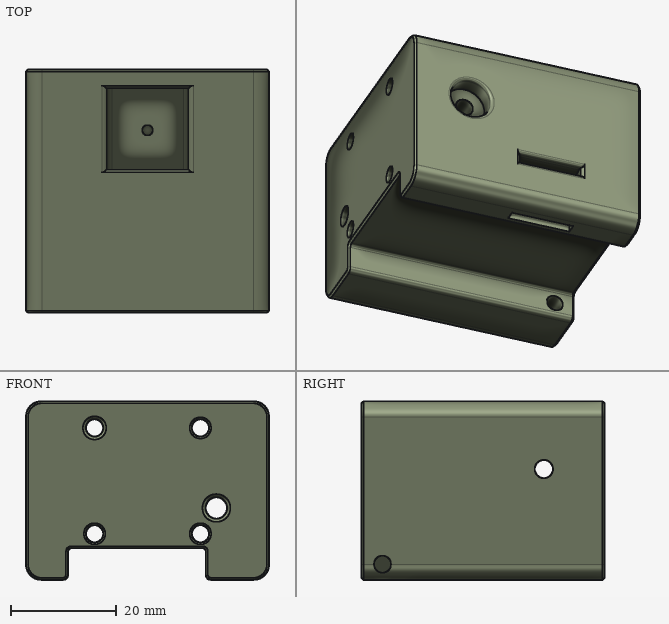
import cadquery as cq
import math

WIDTH = 46.0
LENGTH = 46.0
HEIGHT = 33.8
CORNER_RADIUS = 3.0
END_CHAMFER = 0.4

CHANNEL_LEFT = -15.0
CHANNEL_RIGHT = 11.0
CHANNEL_HEIGHT = 6.0
CHANNEL_ROOF_RADIUS = 0.6
CHANNEL_LIP_RADIUS = 1.0

BOLT_DIAMETER = 3.2
BOLT_PITCH = 20.0
BOLT_LOWER_Z = 8.75
BOLT_CHAMFER = 0.4
WIDE_BOLT_CHAMFER = 0.6
SIDE_HOLE_DIAMETER = 4.0
SIDE_HOLE_X = 13.0
SIDE_HOLE_Z = 13.6
SIDE_HOLE_CHAMFER = 0.65

AXLE_Y = 11.5
AXLE_Z = 20.98
AXLE_DIAMETER = 3.4
AXLE_HEAD_DIAMETER = 8.0
AXLE_HEAD_DEPTH = 3.5
AXLE_HEAD_FILLET = 0.6

POCKET_SIZE = 15.35
POCKET_Y = 11.75
POCKET_FLOOR_Z = AXLE_Z - POCKET_SIZE / 2
POCKET_RADIUS = 0.95
POCKET_END_CHAMFER = 0.5
FLOOR_HOLE_DIAMETER = 2.0
FLOOR_HOLE_DEPTH = 2.0

STRAP_WIDTH = 12.4
STRAP_Y = -4.75
STRAP_GAP = 2.0
STRAP_FLOOR_Z = 8.92
STRAP_BEND_RADIUS = 6.2 / 2
STRAP_LEAD_IN = 1.3
STRAP_MOUTH_RADIUS = 0.65
STRAP_END_CHAMFER = 0.6

DIAGONAL = math.sqrt(0.5)

CLAMP_DIAMETER = 3.2
CLAMP_FROM_FRONT = 4.0
CLAMP_Y = -LENGTH / 2 + CLAMP_FROM_FRONT
CLAMP_Z = CHANNEL_HEIGHT / 2


def cylinder(plane, origin, diameter, depth):
    """Solid cylinder starting at origin and running along the plane normal."""
    return cq.Workplane(plane, origin=origin).circle(diameter / 2).extrude(depth)


def flared_mouth(width, gap, flare_radius, end_chamfer):
    """Widening mouth below z = 0: rounded lips across X, chamfered ends across Y."""
    half_gap = gap / 2
    half_width = width / 2
    outer_gap = half_gap + flare_radius
    outer_width = half_width + end_chamfer
    bend = flare_radius * (1 - DIAGONAL)
    rounded = (
        cq.Workplane("XZ", origin=(0, outer_width, 0))
        .moveTo(-outer_gap, 0)
        .threePointArc((-half_gap - bend, -bend), (-half_gap, -flare_radius))
        .lineTo(half_gap, -flare_radius)
        .threePointArc((half_gap + bend, -bend), (outer_gap, 0))
        .close()
        .extrude(2 * outer_width)
    )
    depth = flare_radius + end_chamfer
    chamfered = (
        cq.Workplane("YZ", origin=(-outer_gap, 0, 0))
        .polyline([
            (-outer_width, 0), (-half_width, -end_chamfer), (-half_width, -depth),
            (half_width, -depth), (half_width, -end_chamfer), (outer_width, 0),
        ])
        .close()
        .extrude(2 * outer_gap)
    )
    return rounded.intersect(chamfered)


def housing():
    """Block with rounded edges along Y, a channel below and chamfered ends."""
    block = cq.Workplane("XY").box(WIDTH, LENGTH, HEIGHT, centered=(True, True, False))
    block = block.edges("|Y").fillet(CORNER_RADIUS)
    channel_width = CHANNEL_RIGHT - CHANNEL_LEFT
    channel = (
        cq.Workplane("XY", origin=((CHANNEL_LEFT + CHANNEL_RIGHT) / 2, 0, 0))
        .box(channel_width, LENGTH, CHANNEL_HEIGHT, centered=(True, True, False))
        .edges("|Y and >Z").fillet(CHANNEL_ROOF_RADIUS)
    )
    block = block.cut(channel)
    lips = cq.selectors.BoxSelector(
        (CHANNEL_LEFT - CHANNEL_LIP_RADIUS, -LENGTH, -CHANNEL_LIP_RADIUS),
        (CHANNEL_RIGHT + CHANNEL_LIP_RADIUS, LENGTH, CHANNEL_LIP_RADIUS),
    )
    block = block.edges("|Y").edges(lips).fillet(CHANNEL_LIP_RADIUS)
    return block.faces("<Y or >Y").edges().chamfer(END_CHAMFER)


def lengthwise_hole(x, z, diameter, chamfer):
    """Hole through the block along Y with a chamfered mouth on the -Y face."""
    hole = cylinder("XZ", (x, -LENGTH / 2, z), diameter, -LENGTH)
    mouth = cq.Solid.makeCone(
        diameter / 2 + chamfer, diameter / 2, chamfer,
        pnt=cq.Vector(x, -LENGTH / 2, z), dir=cq.Vector(0, 1, 0),
    )
    return hole.union(cq.Workplane(mouth))


def axle_hole():
    """Hole through the block along X, with a round-lipped recess for the axle head."""
    side = -WIDTH / 2
    radius = AXLE_HEAD_DIAMETER / 2
    bend = AXLE_HEAD_FILLET * (1 - DIAGONAL)
    head = (
        cq.Workplane("XY", origin=(side, AXLE_Y, AXLE_Z))
        .lineTo(0, radius + AXLE_HEAD_FILLET)
        .threePointArc((bend, radius + bend), (AXLE_HEAD_FILLET, radius))
        .lineTo(AXLE_HEAD_DEPTH, radius)
        .lineTo(AXLE_HEAD_DEPTH, 0)
        .close()
        .revolve(360, (0, 0, 0), (1, 0, 0))
    )
    return head.union(cylinder("YZ", (side, AXLE_Y, AXLE_Z), AXLE_DIAMETER, WIDTH))


def pocket():
    """Square well, its floor half a side below the axle, with a small blind hole."""
    depth = HEIGHT - POCKET_FLOOR_Z
    well = (
        cq.Workplane("XY", origin=(0, POCKET_Y, POCKET_FLOOR_Z))
        .box(POCKET_SIZE, POCKET_SIZE, depth, centered=(True, True, False))
        .edges("|Y and <Z").fillet(POCKET_RADIUS)
    )
    mouth = flared_mouth(POCKET_SIZE, POCKET_SIZE, POCKET_RADIUS, POCKET_END_CHAMFER)
    floor_hole = cylinder(
        "XY", (0, AXLE_Y, POCKET_FLOOR_Z), FLOOR_HOLE_DIAMETER, -FLOOR_HOLE_DEPTH
    )
    return well.union(mouth.translate((0, POCKET_Y, HEIGHT))).union(floor_hole)


def strap_passage():
    """Flat passage that enters level and turns straight down through the -X leg."""
    side = -WIDTH / 2
    bend_x = side + STRAP_LEAD_IN
    bend_z = STRAP_FLOOR_Z - STRAP_BEND_RADIUS
    inner = STRAP_BEND_RADIUS
    outer = STRAP_BEND_RADIUS + STRAP_GAP
    inner_middle = (bend_x + inner * DIAGONAL, bend_z + inner * DIAGONAL)
    outer_middle = (bend_x + outer * DIAGONAL, bend_z + outer * DIAGONAL)
    path = (
        cq.Workplane("XZ", origin=(0, STRAP_Y + STRAP_WIDTH / 2, 0))
        .moveTo(side, bend_z + inner)
        .lineTo(bend_x, bend_z + inner)
        .threePointArc(inner_middle, (bend_x + inner, bend_z))
        .lineTo(bend_x + inner, 0)
        .lineTo(bend_x + outer, 0)
        .lineTo(bend_x + outer, bend_z)
        .threePointArc(outer_middle, (bend_x, bend_z + outer))
        .lineTo(side, bend_z + outer)
        .close()
        .extrude(STRAP_WIDTH)
    )
    mouth = (
        flared_mouth(STRAP_WIDTH, STRAP_GAP, STRAP_MOUTH_RADIUS, STRAP_END_CHAMFER)
        .rotate((0, 0, 0), (0, 1, 0), -90)
        .translate((side, STRAP_Y, STRAP_FLOOR_Z + STRAP_GAP / 2))
    )
    return path.union(mouth)


result = housing()

for column in (-1, 1):
    for row in (0, 1):
        upper_left = column < 0 and row == 1
        result = result.cut(lengthwise_hole(
            column * BOLT_PITCH / 2,
            BOLT_LOWER_Z + row * BOLT_PITCH,
            BOLT_DIAMETER,
            WIDE_BOLT_CHAMFER if upper_left else BOLT_CHAMFER,
        ))
result = result.cut(lengthwise_hole(SIDE_HOLE_X, SIDE_HOLE_Z, SIDE_HOLE_DIAMETER, SIDE_HOLE_CHAMFER))

result = result.cut(axle_hole())
result = result.cut(pocket())
result = result.cut(strap_passage())

leg_width = WIDTH / 2 - CHANNEL_RIGHT
result = result.cut(cylinder("YZ", (CHANNEL_RIGHT, CLAMP_Y, CLAMP_Z), CLAMP_DIAMETER, leg_width))